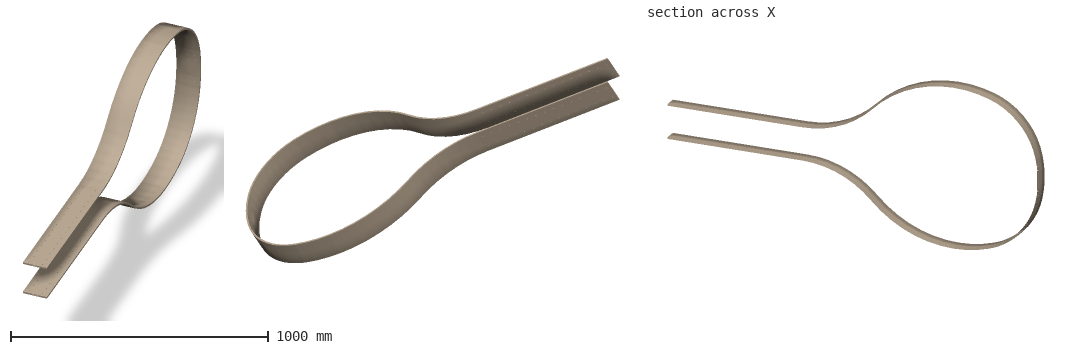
import cadquery as cq
import math

width = 101.0
length = 1578.84
height = 677.25
thickness = 7.3

arm_radius = 417.0
shoulder_radius = 490.6
crown_radius = 492.8
end_radius = 430.0
arm_turn = 45.0
crown_turn = 18.0
end_turn = 12.0
corner_turn = 90.0 - crown_turn - end_turn

crown_drop = crown_radius * (1 - math.cos(math.radians(crown_turn)))
end_rise = end_radius * math.sin(math.radians(end_turn))
corner_span = math.cos(math.radians(crown_turn)) - math.cos(math.radians(crown_turn + corner_turn))
corner_radius = (height / 2 - thickness / 2 - crown_drop - end_rise) / corner_span

channel_width = 25.0
wall = 2.55

hole_diameter = 4.0
arm_hole_spacing = 52.0
arm_hole_pitch = 38.6
arm_hole_count = 15
arm_hole_margin = 15.7

end_hole_rows = ((43.5, 32.0), (60.0, 27.0))

approach_arcs = (
    (arm_radius, arm_turn),
    (shoulder_radius, -arm_turn),
    (crown_radius, -crown_turn),
    (corner_radius, -corner_turn),
)
half_arcs = approach_arcs + ((end_radius, -end_turn),)
loop_arcs = approach_arcs + ((end_radius, -2 * end_turn),) + approach_arcs[::-1]


def arc_step(radius, heading, turn):
    """Step (dy, dz) along an arc that sets out at `heading` and turns by `turn` degrees."""
    signed_radius = math.copysign(radius, turn)
    first = math.radians(heading)
    last = math.radians(heading + turn)
    dy = signed_radius * (math.sin(last) - math.sin(first))
    dz = signed_radius * (math.cos(first) - math.cos(last))
    return dy, dz


def half_loop_step():
    """Step (dy, dz) from the inner end of an arm to the middle of the closed end."""
    heading, dy, dz = 0.0, 0.0, 0.0
    for radius, turn in half_arcs:
        step = arc_step(radius, heading, turn)
        dy += step[0]
        dz += step[1]
        heading += turn
    return dy, dz


tip_y = -length / 2
back_y = length / 2
arm_height = (
    height / 2
    - thickness / 2
    - (arm_radius + shoulder_radius) * (1 - math.cos(math.radians(arm_turn)))
)
arm_length = length - thickness / 2 - half_loop_step()[0]


def face_points(offset):
    """Points along the band, `offset` outside its centreline: arm end, then (middle, end) per arc."""
    y, z, heading = tip_y + arm_length, arm_height + offset, 0.0
    start = (y, z)
    arcs = []
    for radius, turn in loop_arcs:
        face_radius = radius - offset * math.copysign(1, turn)
        dy, dz = arc_step(face_radius, heading, turn / 2)
        middle = (y + dy, z + dz)
        dy, dz = arc_step(face_radius, heading, turn)
        y, z = y + dy, z + dz
        arcs.append((middle, (y, z)))
        heading += turn
    return start, arcs


def loop_strip(strip_thickness, strip_width):
    """A strip of rectangular section that follows the whole centreline."""
    outer_start, outer_arcs = face_points(strip_thickness / 2)
    inner_start, inner_arcs = face_points(-strip_thickness / 2)
    outline = cq.Workplane("YZ").moveTo(tip_y, outer_start[1]).lineTo(*outer_start)
    for middle, end in outer_arcs:
        outline = outline.threePointArc(middle, end)
    outline = outline.lineTo(tip_y, outer_arcs[-1][1][1])
    outline = outline.lineTo(tip_y, inner_arcs[-1][1][1]).lineTo(*inner_arcs[-1][1])
    inner_ends = [inner_start] + [end for _, end in inner_arcs[:-1]]
    for (middle, _), end in zip(inner_arcs[::-1], inner_ends[::-1]):
        outline = outline.threePointArc(middle, end)
    outline = outline.lineTo(tip_y, inner_start[1]).close()
    return outline.extrude(strip_width / 2, both=True)


def arm_holes():
    points = [
        (side * arm_hole_spacing / 2, tip_y + arm_hole_margin + i * arm_hole_pitch)
        for side in (-1, 1)
        for i in range(arm_hole_count)
    ]
    plane = cq.Workplane("XY").pushPoints(points)
    return plane.circle(hole_diameter / 2).extrude(height / 2, both=True)


def end_holes():
    points = [
        (across * x, up * z)
        for z, x in end_hole_rows
        for across in (-1, 0, 1)
        for up in (-1, 1)
    ]
    plane = cq.Workplane("XZ", origin=(0, back_y, 0)).pushPoints(points)
    return plane.circle(hole_diameter / 2).extrude(3 * thickness, both=True)


band = loop_strip(thickness, width)
channel = loop_strip(thickness - 2 * wall, channel_width)
result = band.cut(channel).cut(arm_holes()).cut(end_holes())